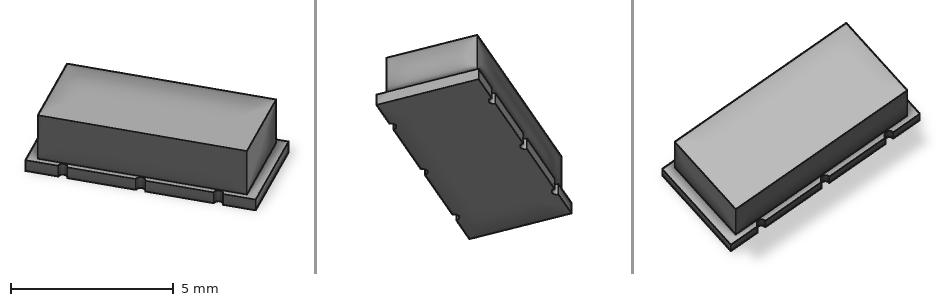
import cadquery as cq

length = 7.4
width = 3.4
base_thickness = 0.4

total_height = 2.0
cover_length = 6.72
cover_width = 3.02
cover_height = total_height - base_thickness

notch_radius = 0.15
notch_pitch = 2.5


def make_base():
    """Rectangular board with three half-round notches in each long edge."""
    board = cq.Workplane("XY").box(length, width, base_thickness, centered=(True, True, False))
    notch_centres = [
        (column * notch_pitch, side * width / 2)
        for column in (-1, 0, 1)
        for side in (-1, 1)
    ]
    notches = (
        cq.Workplane("XY")
        .pushPoints(notch_centres)
        .circle(notch_radius)
        .extrude(base_thickness)
    )
    return board.cut(notches)


def make_cover():
    """Plain block standing on the top face of the base."""
    return (
        cq.Workplane("XY")
        .workplane(offset=base_thickness)
        .box(cover_length, cover_width, cover_height, centered=(True, True, False))
    )


result = make_base().union(make_cover())